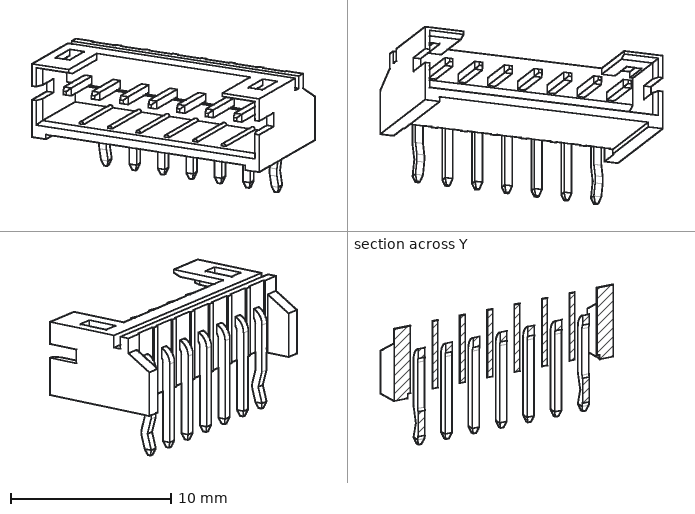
import cadquery as cq

LENGTH = 16.0
DEPTH = 7.6
HEIGHT = 4.8
BACK_WALL_Y = 6.0

LEG_WIDTH = 0.91
LEG_BACK_HEIGHT = 2.86
LEG_FRONT_HEIGHT = 3.82
FOOT_WIDTH = 1.0
FOOT_HEIGHT = 0.3
GROOVE_FRONT_Y = 4.9
GROOVE_WIDTH = 0.5
GROOVE_DEPTH = 0.8

WALL = 0.5
CAVITY_DEPTH = 3.8
CAVITY_FLOOR_Z = 1.02
CAVITY_ROOF_Z = 4.4
LEAD_IN_WIDTH = 0.2
LEAD_IN_DEPTH = 0.5
UNDERCUT_TOP_Z = 2.64
UNDERCUT_BOTTOM_Z = 2.15
UNDERCUT_DEPTH = 1.1

ROOF_NOTCH_LENGTH = 10.8
WINDOW_WIDTH = 1.0
WINDOW_LENGTH = 2.0
WINDOW_EDGE = 0.7
SIDE_SLOT_DEPTH = 2.0
SIDE_SLOT_BOTTOM_Z = 2.45
SIDE_SLOT_HEIGHT = 0.9

RIB_RADIUS = 0.16
RIB_FRONT_Y = 0.95

PIN_COUNT = 7
PITCH = 2.0
PIN_SIZE = 0.51
PIN_CENTER_Z = 3.0
PIN_TIP_Y = 0.6
PIN_TIP_LENGTH = 0.42
PIN_TIP_SIZE = 0.22
PIN_BOTTOM_Z = -3.3
BEND_OUTER_RADIUS = 1.0
CHANNEL_WIDTH = 1.6
CHANNEL_DEPTH = 0.11

KINK_TOP_Z = -0.8
KINK_APEX_Z = -1.85
KINK_OFFSET = 0.29
KINK_RADIUS = 0.88

OVERLAP = 0.16

pin_positions = [(i - (PIN_COUNT - 1) / 2) * PITCH for i in range(PIN_COUNT)]
rib_positions = [x + PITCH / 2 for x in pin_positions[:-1]]


def box(x_range, y_range, z_range):
    """Box spanning three (low, high) ranges."""
    spans = [high - low for low, high in (x_range, y_range, z_range)]
    corner = (x_range[0], y_range[0], z_range[0])
    return cq.Workplane("XY").box(*spans, centered=False).translate(corner)


def mirrored(half):
    """Join a feature with its mirror image across the YZ plane."""
    return half.union(half.mirror("YZ"))


def extrude_profile(points, width, center_x=0.0):
    """Extrude a closed (y, z) outline symmetrically about center_x."""
    outline = cq.Workplane("YZ", origin=(center_x, 0, 0)).polyline(points).close()
    return outline.extrude(width / 2, both=True)


def make_shell():
    """Solid housing with rear legs, feet, roof groove and contact channels."""
    shell = box((-LENGTH / 2, LENGTH / 2), (0, BACK_WALL_Y), (0, HEIGHT))
    leg_profile = [
        (BACK_WALL_Y - OVERLAP, 0),
        (DEPTH, 0),
        (DEPTH, LEG_BACK_HEIGHT),
        (BACK_WALL_Y, LEG_FRONT_HEIGHT),
        (BACK_WALL_Y - OVERLAP, LEG_FRONT_HEIGHT),
    ]
    leg = extrude_profile(leg_profile, LEG_WIDTH, (LENGTH - LEG_WIDTH) / 2)
    shell = shell.union(mirrored(leg))

    foot_inner_x = LENGTH / 2 - FOOT_WIDTH
    shell = shell.cut(box((-foot_inner_x, foot_inner_x), (0, BACK_WALL_Y), (0, FOOT_HEIGHT)))
    shell = shell.cut(box(
        (-LENGTH / 2, LENGTH / 2),
        (GROOVE_FRONT_Y, GROOVE_FRONT_Y + GROOVE_WIDTH),
        (HEIGHT - GROOVE_DEPTH, HEIGHT),
    ))
    for x in pin_positions:
        shell = shell.cut(box(
            (x - CHANNEL_WIDTH / 2, x + CHANNEL_WIDTH / 2),
            (BACK_WALL_Y - CHANNEL_DEPTH, BACK_WALL_Y),
            (0, HEIGHT),
        ))
    return shell


def make_cavity():
    """Mating cavity with an undercut back wall and a tapered lead-in."""
    width = LENGTH - 2 * WALL
    cavity = extrude_profile([
        (0, CAVITY_FLOOR_Z),
        (CAVITY_DEPTH + UNDERCUT_DEPTH, CAVITY_FLOOR_Z),
        (CAVITY_DEPTH + UNDERCUT_DEPTH, UNDERCUT_BOTTOM_Z),
        (CAVITY_DEPTH, UNDERCUT_TOP_Z),
        (CAVITY_DEPTH, CAVITY_ROOF_Z),
        (0, CAVITY_ROOF_Z),
    ], width)
    height = CAVITY_ROOF_Z - CAVITY_FLOOR_Z
    lead_in = (
        cq.Workplane("XZ", origin=(0, 0, CAVITY_FLOOR_Z + height / 2))
        .rect(width + 2 * LEAD_IN_WIDTH, height + 2 * LEAD_IN_WIDTH)
        .workplane(offset=-LEAD_IN_DEPTH)
        .rect(width, height)
        .loft(ruled=True)
    )
    return cavity.union(lead_in)


def make_openings():
    """Roof notch, two roof windows and the slots in both side walls."""
    notch = box(
        (-ROOF_NOTCH_LENGTH / 2, ROOF_NOTCH_LENGTH / 2),
        (0, CAVITY_DEPTH),
        (PIN_CENTER_Z, HEIGHT),
    )
    window_x = LENGTH / 2 - WINDOW_EDGE
    window = box(
        (window_x - WINDOW_WIDTH, window_x),
        (CAVITY_DEPTH - WINDOW_LENGTH, CAVITY_DEPTH),
        (PIN_CENTER_Z, HEIGHT),
    )
    side_slot = box(
        (LENGTH / 2 - WALL - OVERLAP, LENGTH / 2),
        (0, SIDE_SLOT_DEPTH),
        (SIDE_SLOT_BOTTOM_Z, SIDE_SLOT_BOTTOM_Z + SIDE_SLOT_HEIGHT),
    )
    return notch.union(mirrored(window)).union(mirrored(side_slot))


def make_rib(x):
    """Half-round rib along the cavity floor, ending in the back wall."""
    rib_back_y = CAVITY_DEPTH + UNDERCUT_DEPTH + OVERLAP
    return (
        cq.Workplane("XZ", origin=(x, RIB_FRONT_Y, CAVITY_FLOOR_Z))
        .circle(RIB_RADIUS)
        .extrude(RIB_FRONT_Y - rib_back_y)
    )


def round_edge(solid, midpoint, radius):
    """Fillet the edge whose middle lies at midpoint."""
    return solid.edges(cq.selectors.NearestToPointSelector(midpoint)).fillet(radius)


def make_tip(plane):
    """Square pyramid frustum closing the end of a contact."""
    return (
        cq.Workplane(plane)
        .rect(PIN_SIZE, PIN_SIZE)
        .workplane(offset=PIN_TIP_LENGTH)
        .rect(PIN_TIP_SIZE, PIN_TIP_SIZE)
        .loft(ruled=True)
    )


def make_pin(x, kinked):
    """Right-angle square contact, with an optional kink in the solder tail."""
    shoulder_y = PIN_TIP_Y + PIN_TIP_LENGTH
    shoulder_z = PIN_BOTTOM_Z + PIN_TIP_LENGTH
    tail_front_y = BACK_WALL_Y
    tail_back_y = tail_front_y + PIN_SIZE
    top_z = PIN_CENTER_Z + PIN_SIZE / 2
    bottom_z = PIN_CENTER_Z - PIN_SIZE / 2

    kink_front = []
    kink_back = []
    if kinked:
        kink_front = [(tail_front_y, KINK_TOP_Z), (tail_front_y - KINK_OFFSET, KINK_APEX_Z)]
        kink_back = [(tail_back_y - KINK_OFFSET, KINK_APEX_Z), (tail_back_y, KINK_TOP_Z)]
    bar = extrude_profile([
        (shoulder_y, bottom_z),
        (tail_front_y, bottom_z),
        *kink_front,
        (tail_front_y, shoulder_z),
        (tail_back_y, shoulder_z),
        *kink_back,
        (tail_back_y, top_z),
        (shoulder_y, top_z),
    ], PIN_SIZE, x)
    bar = round_edge(bar, (x, tail_back_y, top_z), BEND_OUTER_RADIUS)
    bar = round_edge(bar, (x, tail_front_y, bottom_z), BEND_OUTER_RADIUS - PIN_SIZE)
    if kinked:
        bar = round_edge(bar, (x, tail_front_y - KINK_OFFSET, KINK_APEX_Z), KINK_RADIUS)

    mating_plane = cq.Plane((x, shoulder_y, PIN_CENTER_Z), (1, 0, 0), (0, -1, 0))
    tail_plane = cq.Plane((x, tail_front_y + PIN_SIZE / 2, shoulder_z), (1, 0, 0), (0, 0, -1))
    return bar.union(make_tip(mating_plane)).union(make_tip(tail_plane))


result = make_shell().cut(make_cavity()).cut(make_openings())
for rib_x in rib_positions:
    result = result.union(make_rib(rib_x))
for pin_x in pin_positions:
    result = result.union(make_pin(pin_x, kinked=pin_x in (pin_positions[0], pin_positions[-1])))